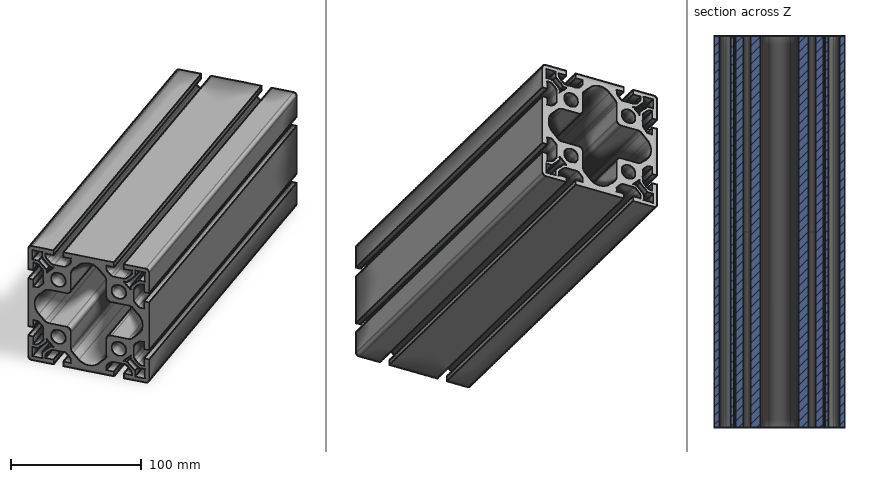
import cadquery as cq
import math

length = 300.0
side = length / 3
half_side = side / 2
outer_corner_radius = 3.0

bore_offset = side / 4
bore_radius = 6.0

slot_opening = 8.0
slot_lip = 4.2
slot_depth = 12.5
slot_inner_wall = 14.7
slot_outer_wall = 35.7
slot_outer_bevel = 5.0
slot_inner_bevel = 4.5
slot_outer_blend = 4.5
slot_inner_blend = 3.0

arm_half_width = 14.7
arm_reach = 44.7
arm_end_radius = 11.7
block_corner_radius = 4.0
shoulder_radius = 5.0

chamber_near = 38.5
chamber_far = 46.5
channel_offset = 3.0
flare_edge = 34.8
flare_tip = 29.0

margin = 0.3


def prism(outline):
    """Extrude a closed XZ outline over the full length, centred on Y = 0."""
    return outline.extrude(length / 2, both=True)


def section():
    return cq.Workplane("XZ")


def edges_between(x_low, x_high, z_low, z_high):
    """Select edges centred inside an XZ window, limits included."""
    return cq.selectors.BoxSelector(
        (x_low - margin, -length, z_low - margin),
        (x_high + margin, length, z_high + margin),
    )


def quarter_turns(tool):
    """Return the tool repeated on all four sides of the profile."""
    return [tool.rotate((0, 0, 0), (0, 1, 0), 90 * turn) for turn in range(4)]


def make_slot():
    """T-slot in the right half of the top face."""
    lip_out = half_side - slot_lip
    floor_out = half_side - slot_depth
    pocket = prism(
        section()
        .moveTo(slot_inner_wall, lip_out)
        .lineTo(slot_outer_wall, lip_out)
        .lineTo(slot_outer_wall, floor_out + slot_outer_bevel)
        .lineTo(slot_outer_wall - slot_outer_bevel, floor_out)
        .lineTo(slot_inner_wall + slot_inner_bevel, floor_out)
        .lineTo(slot_inner_wall, floor_out + slot_inner_bevel)
        .close()
    )
    for near, far, blend in (
        (slot_inner_wall, bore_offset, slot_inner_blend),
        (bore_offset, slot_outer_wall, slot_outer_blend),
    ):
        bevel_edges = edges_between(near, far, floor_out, lip_out - 2 * margin)
        pocket = pocket.edges("|Y").edges(bevel_edges).fillet(blend)
    opening = prism(
        section()
        .center(bore_offset, half_side - slot_lip / 2)
        .rect(slot_opening, slot_lip)
    )
    return pocket.union(opening)


def make_cavity():
    """Two crossing arms whose ends taper at 45 degrees into tangent arcs, with rounded bends."""
    arc_centre = arm_reach - arm_end_radius
    tangent = arm_end_radius * math.sin(math.radians(45))
    tangent_out = arc_centre + tangent
    shoulder_out = tangent_out + tangent - arm_half_width
    arm = prism(
        section()
        .moveTo(-arm_half_width, -shoulder_out)
        .lineTo(-tangent, -tangent_out)
        .threePointArc((0, -arm_reach), (tangent, -tangent_out))
        .lineTo(arm_half_width, -shoulder_out)
        .lineTo(arm_half_width, shoulder_out)
        .lineTo(tangent, tangent_out)
        .threePointArc((0, arm_reach), (-tangent, tangent_out))
        .lineTo(-arm_half_width, shoulder_out)
        .close()
    )
    cross = arm.union(arm.rotate((0, 0, 0), (0, 1, 0), 90))
    block_corners = edges_between(-arm_half_width, arm_half_width, -arm_half_width, arm_half_width)
    cross = cross.edges("|Y").edges(block_corners).fillet(block_corner_radius)
    for x_size, z_size in ((arm_half_width, shoulder_out), (shoulder_out, arm_half_width)):
        for x in (x_size, -x_size):
            for z in (z_size, -z_size):
                shoulder = edges_between(x, x, z, z)
                cross = cross.edges("|Y").edges(shoulder).fillet(shoulder_radius)
    return cross


def make_corner_hollow():
    """Chamber, diagonal channel and flared channel end in the +X +Z corner."""
    return prism(
        section()
        .moveTo(flare_tip, flare_edge)
        .lineTo(flare_edge - channel_offset, flare_edge)
        .lineTo(chamber_near, chamber_near + channel_offset)
        .lineTo(chamber_near, chamber_far)
        .lineTo(chamber_far, chamber_far)
        .lineTo(chamber_far, chamber_near)
        .lineTo(chamber_near + channel_offset, chamber_near)
        .lineTo(flare_edge, flare_edge - channel_offset)
        .lineTo(flare_edge, flare_tip)
        .close()
    )


def make_bore():
    return prism(section().center(bore_offset, bore_offset).circle(bore_radius))


body = prism(section().rect(side, side)).edges("|Y").fillet(outer_corner_radius)
body = body.cut(make_cavity())

right_slot = make_slot()
left_slot = right_slot.mirror("YZ")
for side_feature in (right_slot, left_slot, make_corner_hollow(), make_bore()):
    for tool in quarter_turns(side_feature):
        body = body.cut(tool)

result = body